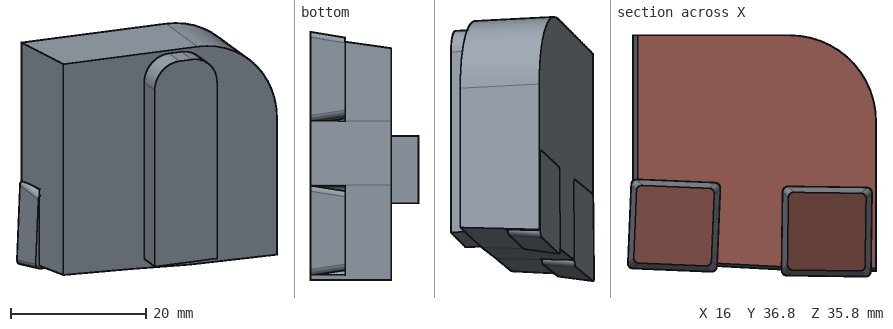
import cadquery as cq
import math


block_thickness = 12.0
block_depth = 36.05
top_corner_radius = 12.8
front_draft_angle = 8.0
bottom_draft_angle = 4.4

front_bottom_z = -33.7
front_kink_y = 12.45
front_kink_z = -34.22
back_kink_y = 21.95
back_kink_z = -34.75
back_bottom_z = -34.95

rail_height = 4.0
rail_width = 10.0
rail_corner_radius = 4.0
rail_center_y = 19.7
rail_top_z = -0.48
rail_bottom_z = -31.98

insert_size = 13.2
insert_corner_radius = 0.8
insert_thickness = 5.15
insert_relief_angle = 9.0
insert_back_size = insert_size - 2 * insert_thickness * math.tan(math.radians(insert_relief_angle))

insert_placements = [(6.1, -28.23, -2.4), (28.75, -29.1, -0.8)]


def make_drafted_bottom_prism():
    """Holder outline swept along a direction that rises with the bottom draft."""
    bottom_rise = block_thickness * math.tan(math.radians(bottom_draft_angle))
    outline = [
        (0, 0),
        (0, front_bottom_z),
        (front_kink_y, front_kink_z),
        (back_kink_y, back_kink_z),
        (block_depth, back_bottom_z),
        (block_depth, 0),
    ]
    wire = cq.Wire.makePolygon([cq.Vector(0, y, z) for y, z in outline], close=True)
    return cq.Workplane(cq.Solid.extrudeLinear(wire, [], cq.Vector(block_thickness, 0, bottom_rise)))


def make_block():
    """Flat-topped block with a drafted front, trimmed to the drafted bottom."""
    front_setback = block_thickness * math.tan(math.radians(front_draft_angle))
    footprint = [
        (0, 0),
        (block_thickness, front_setback),
        (block_thickness, block_depth),
        (0, block_depth),
    ]
    block = cq.Workplane("XY").polyline(footprint).close().extrude(back_bottom_z)
    block = block.intersect(make_drafted_bottom_prism())
    return block.edges("|X and >Y and >Z").fillet(top_corner_radius)


def make_rail():
    rail_length = rail_top_z - rail_bottom_z
    rail_center_z = (rail_top_z + rail_bottom_z) / 2
    return (
        cq.Workplane("YZ", origin=(block_thickness, rail_center_y, rail_center_z))
        .rect(rail_width, rail_length)
        .extrude(rail_height)
        .edges("|X and >Z")
        .fillet(rail_corner_radius)
    )


def rounded_square(size):
    return cq.Sketch().rect(size, size).vertices().fillet(insert_corner_radius)


def insert_plane(center_y, center_z, tilt):
    return cq.Workplane("YZ", origin=(0, center_y, center_z)).transformed(rotate=(0, 0, tilt))


def make_insert(placement):
    back_square = rounded_square(insert_back_size).moved(cq.Location(cq.Vector(0, 0, insert_thickness)))
    return insert_plane(*placement).placeSketch(rounded_square(insert_size), back_square).loft()


def make_pocket(placement):
    """Straight-walled recess with the outline of the insert's large face."""
    return insert_plane(*placement).placeSketch(rounded_square(insert_size)).extrude(insert_thickness)


holder = make_block().union(make_rail())
inserts = []
for placement in insert_placements:
    holder = holder.cut(make_pocket(placement))
    inserts.append(make_insert(placement))

result = cq.Compound.makeCompound([holder.solids().val(), *[insert.val() for insert in inserts]])